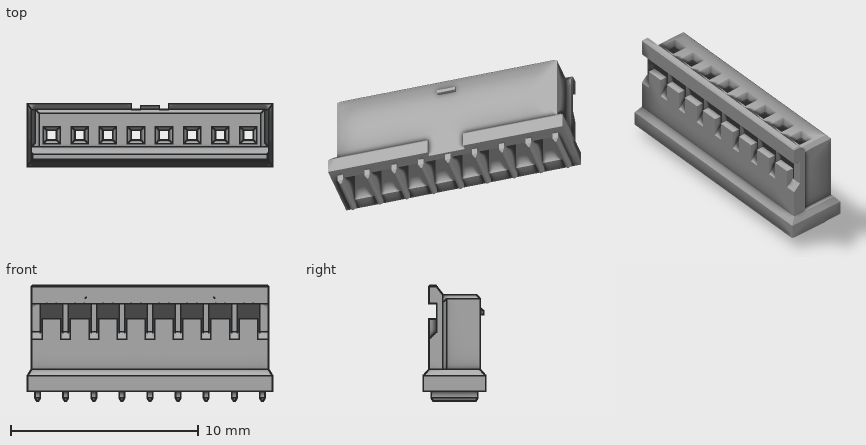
import cadquery as cq


contact_count = 8
contact_row_length = 12.0
pitch = contact_row_length / contact_count

base_length = 13.1
base_width = 3.35
base_top_width = 2.72
base_side_height = 0.83
base_height = 1.18

body_length = 12.26
body_back = 1.38
body_top = 5.16
body_chamfer = 0.21

wall_length = 12.65
wall_front = -base_top_width / 2
wall_back = -0.62
wall_ridge_back = -1.01
wall_top = 5.67
wall_chamfer = 0.08

recess_floor = -0.95
recess_top = 4.69
recess_bottom = 3.18
recess_ramp_bottom = 2.79
tooth_width = 1.0
tooth_top = 3.86

cavity_width = 1.2
cavity_back = 0.95

hole_width = 0.5
mouth_width = 0.92
mouth_depth = 0.25

rib_width = pitch - cavity_width
rib_length = 2.49
rib_height = 0.52
rib_tip_height = 0.17
rib_tip_width = 0.08
rib_tip_inset = 0.1

key_width = 1.0
key_depth = 0.2
key_bottom = 4.1
key_side_height = 0.18
key_bevel_height = 0.16
notch_width = 1.99

body_end = body_length / 2
wall_end = wall_length / 2
contact_positions = [(i - (contact_count - 1) / 2) * pitch for i in range(contact_count)]
rib_positions = [(i - contact_count / 2) * pitch for i in range(contact_count + 1)]


def box(x_size, y_range, z_range, x_center=0.0):
    """Box centred on x_center that spans the given Y and Z ranges."""
    y_size = y_range[1] - y_range[0]
    z_size = z_range[1] - z_range[0]
    corner = (x_center - x_size / 2, y_range[0], z_range[0])
    return cq.Workplane("XY").box(x_size, y_size, z_size, centered=False).translate(corner)


def side_prism(yz_points, x_size, x_center=0.0):
    """Extrude a Y-Z outline along X, centred on x_center."""
    outline = cq.Workplane("YZ").polyline(yz_points).close()
    return outline.extrude(x_size / 2, both=True).translate((x_center, 0, 0))


def frustum(bottom_size, top_size, z_range, x_center=0.0):
    """Rectangular block that tapers between two (X, Y) sizes."""
    return (
        cq.Workplane("XY", origin=(x_center, 0, z_range[0]))
        .rect(*bottom_size)
        .workplane(offset=z_range[1] - z_range[0])
        .rect(*top_size)
        .loft(combine=True)
    )


def make_base():
    side = box(base_length, (-base_width / 2, base_width / 2), (0, base_side_height))
    slope = frustum(
        (base_length, base_width),
        (wall_length, base_top_width),
        (base_side_height, base_height),
    )
    notch = box(notch_width, (base_top_width / 2, base_width / 2), (0, base_height))
    return side.union(slope).cut(notch)


def make_body():
    flare = wall_end - body_end
    plan = [
        (-body_end, body_back),
        (-body_end, wall_back + flare),
        (-wall_end, wall_back),
        (wall_end, wall_back),
        (body_end, wall_back + flare),
        (body_end, body_back),
    ]
    body = cq.Workplane("XY").polyline(plan).close().extrude(body_top)

    drop = body_chamfer + flare
    bevelled_envelope = [
        (-wall_end, 0),
        (-wall_end, body_top - drop),
        (-body_end + body_chamfer, body_top),
        (body_end - body_chamfer, body_top),
        (wall_end, body_top - drop),
        (wall_end, 0),
    ]
    envelope = cq.Workplane("XZ").polyline(bevelled_envelope).close().extrude(base_width, both=True)
    back_bevel = side_prism(
        [
            (body_back, body_top - body_chamfer),
            (body_back, body_top),
            (body_back - body_chamfer, body_top),
        ],
        base_length,
    )
    return body.intersect(envelope).cut(back_bevel)


def make_latch_wall():
    profile = [
        (wall_front, 0),
        (wall_front, wall_top),
        (wall_ridge_back, wall_top),
        (wall_back, body_top),
        (wall_back, 0),
    ]
    wall = side_prism(profile, wall_length)
    wall = wall.faces(">Z").edges("<Y or <X or >X").chamfer(wall_chamfer)

    recess = side_prism(
        [
            (wall_front, recess_top),
            (recess_floor, recess_top),
            (recess_floor, recess_bottom),
            (wall_front, recess_ramp_bottom),
        ],
        wall_length,
    )
    wall = wall.cut(recess)
    for x in contact_positions:
        wall = wall.union(box(tooth_width, (wall_front, recess_floor), (recess_ramp_bottom, tooth_top), x))
    return wall


def make_contact_opening(x):
    cavity = box(cavity_width, (recess_floor, cavity_back), (0, recess_top), x)
    hole = box(hole_width, (-hole_width / 2, hole_width / 2), (0, body_top), x)
    mouth = frustum(
        (hole_width, hole_width),
        (mouth_width, mouth_width),
        (body_top - mouth_depth, body_top),
        x,
    )
    return cavity.union(hole).union(mouth)


def make_rib(x):
    tip_start = rib_tip_height - rib_height
    blade = box(rib_width, (-rib_length / 2, rib_length / 2), (tip_start, 0), x)
    tip = frustum(
        (rib_tip_width, rib_length - 2 * rib_tip_inset),
        (rib_width, rib_length),
        (-rib_height, tip_start),
        x,
    )
    return blade.union(tip)


def make_key():
    profile = [
        (body_back, key_bottom),
        (body_back + key_depth, key_bottom),
        (body_back + key_depth, key_bottom + key_side_height),
        (body_back, key_bottom + key_side_height + key_bevel_height),
    ]
    return side_prism(profile, key_width)


result = make_base().union(make_body()).union(make_latch_wall()).union(make_key())
for x in contact_positions:
    result = result.cut(make_contact_opening(x))
for x in rib_positions:
    result = result.union(make_rib(x))